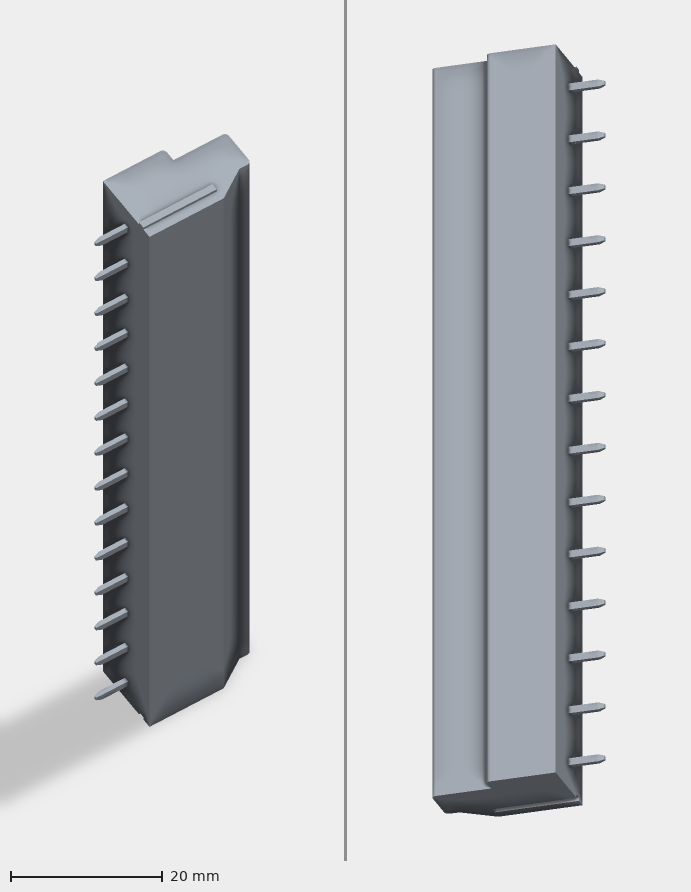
import cadquery as cq

overall_height = 105.6
rib_height = 0.4
body_height = overall_height - rib_height
body_width = 11.2
body_depth = 18.1

step_width = 2.2
step_y = 9.7
top_right_x = 8.2
slope_top_y = 16.2
slope_bottom_y = 11.7
corner_radius = 0.6

rib_start_x = 8.7
rib_width = 1.1
rib_length = 11.6
groove_depth = 0.5

pin_count = 14
pin_pitch = 7.5
first_pin_z = 3.8
pin_x = 5.7
pin_width = 0.7
pin_thickness = 1.0
pin_length = 5.0
pin_tip_length = 0.8
pin_tip_width = 0.37
pin_tip_thickness = 0.5
pin_embed = 0.5


def make_housing():
    """Extrude the stepped and sloped outline, then round its three outer step corners."""
    outline = [
        (0, 0),
        (body_width, 0),
        (body_width, slope_bottom_y),
        (top_right_x, slope_top_y),
        (top_right_x, body_depth),
        (step_width, body_depth),
        (step_width, step_y),
        (0, step_y),
    ]
    housing = cq.Workplane("XY").polyline(outline).close().extrude(body_height)
    for corner in [(0, step_y), (step_width, body_depth), (top_right_x, body_depth)]:
        edge_middle = (corner[0], corner[1], body_height / 2)
        edge = cq.selectors.NearestToPointSelector(edge_middle)
        housing = housing.edges("|Z").edges(edge).fillet(corner_radius)
    return housing


def make_key_bar(bottom_z, height):
    """Straight bar that runs back from the -Y face, used for the rib and the groove."""
    bar = cq.Workplane("XY").box(rib_width, rib_length, height, centered=False)
    return bar.translate((rib_start_x, 0, bottom_z))


def make_pin(center_z):
    """Rectangular pin that points along -Y and ends in a tapered tip."""
    shank_length = pin_length - pin_tip_length
    shank = (
        cq.Workplane("XZ", origin=(pin_x, pin_embed, center_z))
        .rect(pin_width, pin_thickness)
        .extrude(pin_embed + shank_length)
    )
    tip = (
        cq.Workplane("XZ", origin=(pin_x, -shank_length, center_z))
        .rect(pin_width, pin_thickness)
        .workplane(offset=pin_tip_length)
        .rect(pin_tip_width, pin_tip_thickness)
        .loft()
    )
    return shank.union(tip)


result = make_housing()
result = result.union(make_key_bar(body_height, rib_height))
result = result.cut(make_key_bar(0, groove_depth))

for index in range(pin_count):
    result = result.union(make_pin(first_pin_z + index * pin_pitch))